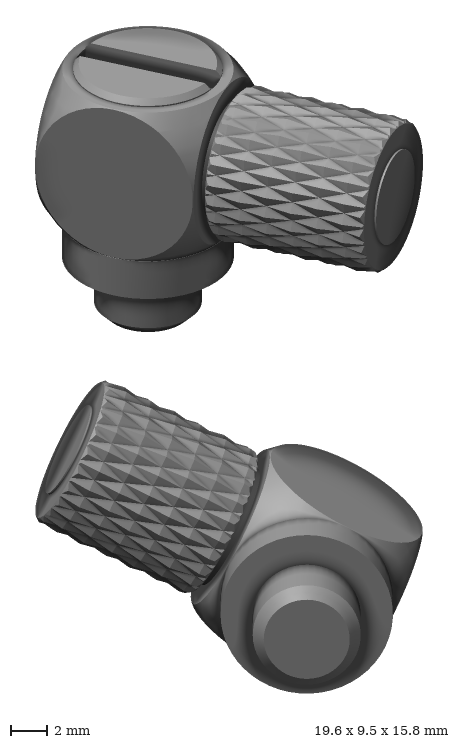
import cadquery as cq
import math


cube_side = 9.5
half_cube = cube_side / 2
total_length = 19.59
flat_radius = 4.72
ball_radius = math.hypot(half_cube, flat_radius)
base_height = 2.39
base_bottom_z = -half_cube - base_height

head_radius = 4.13
head_rise = 0.4
head_chamfer = 0.31
head_depth = 1.95
shank_radius = 2.98
shank_reach = 3.5
tip_chamfer = 0.6
slot_width = 1.5
slot_depth = 1.2

collar_radius = 3.55
collar_length = 0.43
stem_radius = 2.7
stem_end_x = total_length - half_cube

nut_length = 9.55
nut_start_x = half_cube + collar_length
nut_end_radius = 4.13
nut_blank_radius = 4.5
nut_chamfer = nut_blank_radius - nut_end_radius
peak_radius = 4.43
valley_radius = 4.15
knurl_rows = 46
knurl_rings = 8
knurl_pitch = 1.55
first_ring_inset = 0.59
knurl_start_x = nut_start_x + first_ring_inset - knurl_pitch


def cylinder_z(radius, bottom, top):
    return cq.Workplane("XY").workplane(offset=bottom).circle(radius).extrude(top - bottom)


def cylinder_x(radius, start, end):
    return cq.Workplane("YZ").workplane(offset=start).circle(radius).extrude(end - start)


def make_housing():
    cube = cq.Workplane("XY").box(cube_side, cube_side, cube_side)
    body = cube.intersect(cq.Workplane("XY").sphere(ball_radius))
    body = body.union(cylinder_z(half_cube, base_bottom_z, -half_cube))
    body = body.cut(cylinder_z(head_radius, half_cube - head_depth, half_cube))
    return body.cut(cylinder_z(shank_radius, base_bottom_z, half_cube))


def make_screw():
    top_z = half_cube + head_rise
    tip_z = base_bottom_z - shank_reach
    profile = [
        (0, tip_z),
        (shank_radius - tip_chamfer, tip_z),
        (shank_radius, tip_z + tip_chamfer),
        (shank_radius, half_cube - head_depth),
        (head_radius, half_cube - head_depth),
        (head_radius, top_z - head_chamfer),
        (head_radius - head_chamfer, top_z),
        (0, top_z),
    ]
    body = cq.Workplane("XZ").polyline(profile).close().revolve(360, (0, 0), (0, 1))
    slot = cq.Workplane("XY").box(2 * head_radius, slot_width, 2 * slot_depth).translate((0, 0, top_z))
    return body.cut(slot)


def make_connector():
    collar = cylinder_x(collar_radius, half_cube, nut_start_x)
    return collar.union(cylinder_x(stem_radius, nut_start_x, stem_end_x))


def knurl_point(ring, row):
    """Corner of the knurl: peaks and valleys alternate along the axis and around it."""
    radius = peak_radius if (ring + row) % 2 == 0 else valley_radius
    angle = 2 * math.pi * (row + 0.5) / knurl_rows
    x = knurl_start_x + ring * knurl_pitch
    return cq.Vector(x, -radius * math.cos(angle), radius * math.sin(angle))


def polygon_face(points):
    return cq.Face.makeFromWires(cq.Wire.makePolygon(points, close=True))


def knurl_cell(ring, row):
    """Two triangles that share the edge from valley to valley, so that each peak is a pyramid."""
    corners = [
        knurl_point(ring, row),
        knurl_point(ring + 1, row),
        knurl_point(ring + 1, row + 1),
        knurl_point(ring, row + 1),
    ]
    if (ring + row) % 2 == 1:
        corners = corners[1:] + corners[:1]
    peak, valley, far_peak, far_valley = corners
    return [polygon_face([peak, valley, far_valley]), polygon_face([valley, far_peak, far_valley])]


def make_knurl():
    faces = []
    for ring in range(knurl_rings - 1):
        for row in range(knurl_rows):
            faces += knurl_cell(ring, row)
    for ring in (0, knurl_rings - 1):
        faces.append(polygon_face([knurl_point(ring, row) for row in range(knurl_rows)]))
    return cq.Workplane(cq.Solid.makeSolid(cq.Shell.makeShell(faces)))


def make_nut():
    end_x = nut_start_x + nut_length
    blank = cylinder_x(nut_blank_radius, nut_start_x, end_x).faces("<X or >X").chamfer(nut_chamfer)
    body = make_knurl().intersect(blank)
    return body.cut(cylinder_x(stem_radius, nut_start_x, end_x))


housing = make_housing()
screw = make_screw()
connector = make_connector()
nut = make_nut()

bodies = [housing, screw, connector, nut]
result = cq.Compound.makeCompound([body.solids().val() for body in bodies])